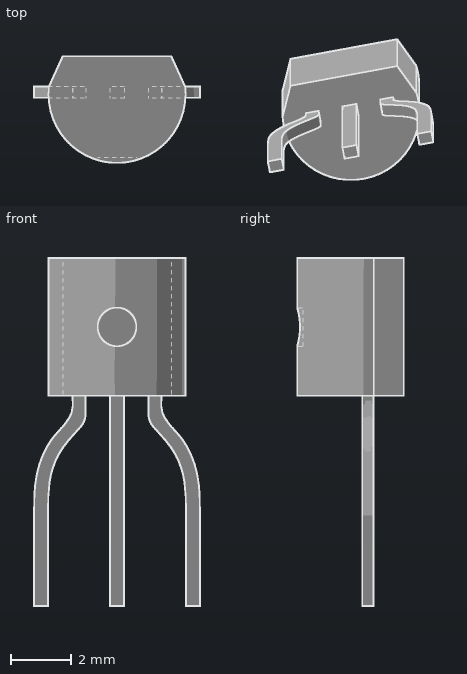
import cadquery as cq
import math

TOTAL_HEIGHT = 11.58

BODY_HEIGHT = 4.59
BODY_RADIUS = 2.28
BODY_DEPTH = 3.55
FLANK_DEPTH = 1.01
BACK_FLAT_WIDTH = 3.61
BODY_BOTTOM = TOTAL_HEIGHT - BODY_HEIGHT
BACK_Y = BODY_DEPTH - BODY_RADIUS
SHOULDER_Y = BACK_Y - FLANK_DEPTH
SHOULDER_X = math.sqrt(BODY_RADIUS**2 - SHOULDER_Y**2)

RECESS_DIAMETER = 1.29
RECESS_DEPTH = 0.2

LEAD_WIDTH = 0.47
LEAD_THICKNESS = 0.38
OVERALL_WIDTH = 5.54
LEAD_TIP_OUTER_X = OVERALL_WIDTH / 2
LEAD_TIP_INNER_X = LEAD_TIP_OUTER_X - LEAD_WIDTH

NECK_INNER_X = 1.04
NECK_OUTER_X = 1.48
KNEE_Z = 6.36
STRAIGHT_TIP_LENGTH = 3.01
INNER_KNEE_MIDDLE = (1.11, 6.1)
INNER_KNEE_END = (1.25, 5.92)
INNER_BEND_START = (1.61, 5.51)
INNER_BEND_MIDDLE = (2.04, 4.84)
OUTER_KNEE_END = (1.52, 6.43)
OUTER_KNEE_START = (1.6, 6.25)
OUTER_SLANT = (2.1, 5.65)
OUTER_BEND_MIDDLE = (2.52, 4.89)
DOWN = (0, -1)
UP = (0, 1)


def direction(start, end):
    return (end[0] - start[0], end[1] - start[1])


def make_body():
    half_flat = BACK_FLAT_WIDTH / 2
    body = (
        cq.Workplane("XY", origin=(0, 0, BODY_BOTTOM))
        .moveTo(-half_flat, BACK_Y)
        .lineTo(-SHOULDER_X, SHOULDER_Y)
        .threePointArc((0, -BODY_RADIUS), (SHOULDER_X, SHOULDER_Y))
        .lineTo(half_flat, BACK_Y)
        .close()
        .extrude(BODY_HEIGHT)
    )
    recess_floor = (0, RECESS_DEPTH - BODY_RADIUS, BODY_BOTTOM + BODY_HEIGHT / 2)
    recess = cq.Workplane("XZ", origin=recess_floor).circle(RECESS_DIAMETER / 2).extrude(2 * RECESS_DEPTH)
    return body.cut(recess)


def lead_plane():
    """Workplane on the back face of the leads; extrusion runs toward -Y."""
    return cq.Workplane("XZ", origin=(0, SHOULDER_Y, 0))


def make_straight_lead():
    return lead_plane().rect(LEAD_WIDTH, BODY_BOTTOM).extrude(LEAD_THICKNESS).translate((0, 0, BODY_BOTTOM / 2))


def make_bent_lead(side):
    """Bent lead on the +X (side = 1) or -X (side = -1) side."""
    inner_slope = direction(INNER_KNEE_END, INNER_BEND_START)
    lead = (
        lead_plane()
        .moveTo(NECK_INNER_X, BODY_BOTTOM)
        .lineTo(NECK_INNER_X, KNEE_Z)
        .threePointArc(INNER_KNEE_MIDDLE, INNER_KNEE_END)
        .lineTo(*INNER_BEND_START)
        .spline(
            [INNER_BEND_MIDDLE, (LEAD_TIP_INNER_X, STRAIGHT_TIP_LENGTH)],
            tangents=[inner_slope, DOWN],
            includeCurrent=True,
        )
        .lineTo(LEAD_TIP_INNER_X, 0)
        .lineTo(LEAD_TIP_OUTER_X, 0)
        .lineTo(LEAD_TIP_OUTER_X, STRAIGHT_TIP_LENGTH)
        .spline(
            [OUTER_BEND_MIDDLE, OUTER_SLANT, OUTER_KNEE_START, OUTER_KNEE_END, (NECK_OUTER_X, BODY_BOTTOM)],
            tangents=[UP, UP],
            includeCurrent=True,
        )
        .close()
        .extrude(LEAD_THICKNESS)
    )
    return lead if side > 0 else lead.mirror("YZ")


body = make_body()
straight_lead = make_straight_lead()
bent_leads = [make_bent_lead(side) for side in (-1, 1)]

result = cq.Compound.makeCompound(
    [body.val(), straight_lead.val(), *[lead.val() for lead in bent_leads]]
)